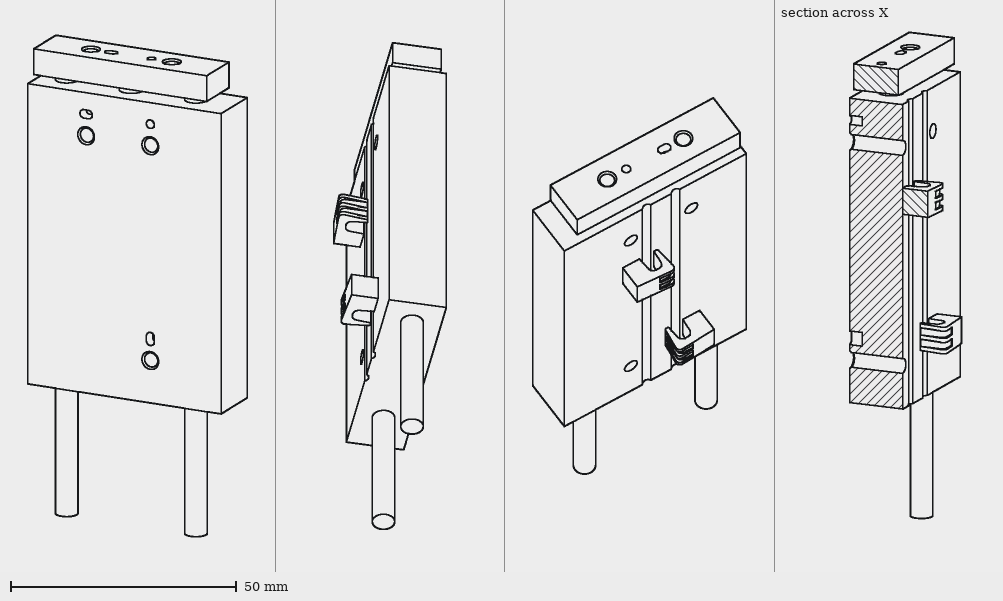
import cadquery as cq


housing_width = 48.0
housing_thickness = 13.0
housing_height = 70.0
housing_left = -22.5
housing_front = -housing_thickness / 2
housing_rear = housing_thickness / 2

plate_inset = 1.0
plate_width = -2 * (housing_left + plate_inset)
plate_depth = housing_thickness - 2 * plate_inset
plate_thickness = 6.0
plate_gap = 2.0
plate_bottom = housing_height + plate_gap
total_height = 109.0
guide_rod_diameter = 5.0
guide_rod_offset = 16.0
guide_rod_bottom = plate_bottom + plate_thickness - total_height
guide_rod_xs = [-guide_rod_offset, guide_rod_offset]
piston_rod_diameter = 5.5

screw_hole_diameter = 3.3
screw_hole_mouth_diameter = 4.1
screw_hole_chamfer = (screw_hole_mouth_diameter - screw_hole_diameter) / 2
dowel_diameter = 2.0
dowel_slot_length = 3.0
dowel_depth = 3.0
housing_screw_offset = 8.0
housing_screw_inset = 10.0
housing_screw_pitch = 50.0
housing_dowel_pitch = 5.0
plate_screw_offset = 10.0
plate_dowel_offset = 5.0

clip_height = 6.1
clip_reach = 6.6
clip_outer_reach = 6.0
clip_outer_offset = 10.1
clip_tip_offset = 0.2
clip_foot_offset = 1.0
clip_corner_radius = 1.0
clip_foot_radius = 0.4
left_clip_bottom = 11.3
right_clip_bottom = 44.7

grip_groove_width = 1.6
grip_groove_pitch = 2.6
grip_groove_depth = 0.5
grip_groove_end_offset = 4.4

sensor_offset = 3.8
passage_foot_width = 3.8
passage_top_width = 3.0
passage_reach = 4.5
passage_corner_radius = 1.3
sensor_groove_diameter = 2.5
sensor_groove_depth = 0.7


def slot_or_hole(face, length, angle=0):
    """Outline of a dowel hole, stretched to a slot if longer than its diameter."""
    if length > dowel_diameter:
        return face.slot2D(length, dowel_diameter, angle)
    return face.circle(dowel_diameter / 2)


def screw_cutter(face, depth):
    """Straight hole with a chamfered mouth, cut along the normal of the face."""
    hole = face.circle(screw_hole_diameter / 2).extrude(-depth)
    mouth = (
        face.circle(screw_hole_mouth_diameter / 2)
        .workplane(offset=-screw_hole_chamfer)
        .circle(screw_hole_diameter / 2)
        .loft()
    )
    return hole.union(mouth)


def make_housing():
    body = cq.Workplane("XY").box(
        housing_width, housing_thickness, housing_height, centered=(False, True, False)
    ).translate((housing_left, 0, 0))

    guide_bores = (
        cq.Workplane("XY").pushPoints([(x, 0) for x in guide_rod_xs])
        .circle(guide_rod_diameter / 2).extrude(housing_height)
    )
    body = body.cut(guide_bores)

    upper_z = housing_height - housing_screw_inset
    lower_z = upper_z - housing_screw_pitch
    mounts = [
        (-housing_screw_offset, upper_z, dowel_slot_length, 0),
        (housing_screw_offset, upper_z, dowel_diameter, 0),
        (housing_screw_offset, lower_z, dowel_slot_length, 90),
    ]
    for x, z, dowel_length, dowel_angle in mounts:
        screw_face = cq.Workplane("XZ", origin=(x, housing_front, z))
        dowel_face = cq.Workplane("XZ", origin=(x, housing_front, z + housing_dowel_pitch))
        body = body.cut(screw_cutter(screw_face, housing_thickness))
        body = body.cut(slot_or_hole(dowel_face, dowel_length, dowel_angle).extrude(-dowel_depth))

    groove_axis_y = housing_rear - sensor_groove_depth + sensor_groove_diameter / 2
    sensor_grooves = (
        cq.Workplane("XY").pushPoints([(x, groove_axis_y) for x in (-sensor_offset, sensor_offset)])
        .circle(sensor_groove_diameter / 2).extrude(housing_height)
    )
    return body.cut(sensor_grooves)


def make_tool_plate():
    """Plate with the piston rod, which ends on the housing top."""
    plate = (
        cq.Workplane("XY", origin=(0, 0, plate_bottom))
        .box(plate_width, plate_depth, plate_thickness, centered=(True, True, False))
    )
    piston_rod = (
        cq.Workplane("XY", origin=(0, 0, housing_height))
        .circle(piston_rod_diameter / 2).extrude(plate_gap)
    )
    plate = plate.union(piston_rod)

    plate_top = plate_bottom + plate_thickness
    for x in (-plate_screw_offset, plate_screw_offset):
        face = cq.Workplane("XY", origin=(x, 0, plate_top))
        plate = plate.cut(screw_cutter(face, plate_thickness))
    for x, length in ((-plate_dowel_offset, dowel_slot_length), (plate_dowel_offset, dowel_diameter)):
        face = cq.Workplane("XY", origin=(x, 0, plate_top))
        plate = plate.cut(slot_or_hole(face, length).extrude(-dowel_depth))
    return plate


def make_guide_rod(x):
    return (
        cq.Workplane("XY", origin=(x, 0, guide_rod_bottom))
        .circle(guide_rod_diameter / 2).extrude(plate_bottom - guide_rod_bottom)
    )


def make_clip(bottom_z):
    """Clip on the left of the centre line, with its gripping end facing +X."""
    base = cq.Workplane("XY", origin=(0, housing_rear, bottom_z))
    clip = (
        base.moveTo(-clip_outer_offset, 0)
        .lineTo(-clip_foot_offset, 0)
        .lineTo(-clip_tip_offset, clip_reach)
        .lineTo(-clip_outer_offset, clip_outer_reach)
        .close().extrude(clip_height)
    )
    clip = clip.edges("|Z").edges(">X").fillet(clip_corner_radius)
    clip = clip.faces("<Y").edges(">X").fillet(clip_foot_radius)

    passage = (
        base.moveTo(-sensor_offset - passage_foot_width / 2, 0)
        .lineTo(-sensor_offset + passage_foot_width / 2, 0)
        .lineTo(-sensor_offset + passage_top_width / 2, passage_reach)
        .lineTo(-sensor_offset - passage_top_width / 2, passage_reach)
        .close().extrude(clip_height)
    )
    passage = passage.edges("|Z").edges(">Y").fillet(passage_corner_radius)
    clip = clip.cut(passage)

    floor_x = -clip_foot_offset
    floor_y = clip_reach - grip_groove_depth
    for side in (-1, 1):
        groove_z = (clip_height + side * grip_groove_pitch - grip_groove_width) / 2
        groove_face = base.workplane(offset=groove_z)
        groove = (
            groove_face.moveTo(floor_x, 0)
            .lineTo(floor_x, floor_y - clip_corner_radius)
            .radiusArc((floor_x - clip_corner_radius, floor_y), -clip_corner_radius)
            .lineTo(-grip_groove_end_offset, floor_y)
            .lineTo(-grip_groove_end_offset, clip_reach)
            .lineTo(0, clip_reach)
            .lineTo(0, 0)
            .close().extrude(grip_groove_width)
        )
        clip = clip.cut(groove)
    return clip


housing = make_housing()
tool_plate = make_tool_plate()
guide_rods = [make_guide_rod(x) for x in guide_rod_xs]
left_clip = make_clip(left_clip_bottom)
right_clip = make_clip(right_clip_bottom).mirror("YZ")

result = cq.Compound.makeCompound([
    housing.val(),
    tool_plate.val(),
    *[rod.val() for rod in guide_rods],
    left_clip.val(),
    right_clip.val(),
])